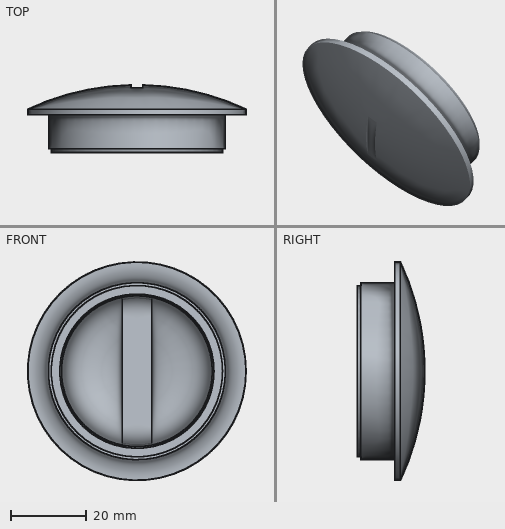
import cadquery as cq
import math

total_depth = 18.0
flange_radius = 29.0
dome_rise = 6.5
flange_thickness = 1.5
collar_radius = 23.5
lip_radius = 22.75
lip_length = 1.0
bore_mouth_radius = 20.5
bore_floor_radius = 20.0
bore_depth = 12.25
floor_rise = 3.15
bar_width = 7.9
bar_front_recess = 0.2
slot_width = 3.1
slot_depth = 0.75

flange_back = total_depth - dome_rise
flange_front = flange_back - flange_thickness
bore_apex = bore_depth + floor_rise


def dome_midpoint(base_radius, rise, apex):
    """Point at half the base radius on a spherical cap, as (radius, Y)."""
    sphere_radius = (base_radius**2 + rise**2) / (2 * rise)
    radius = base_radius / 2
    drop = sphere_radius - math.sqrt(sphere_radius**2 - radius**2)
    return radius, apex - drop


def revolve_about_y(profile):
    return profile.close().revolve(360, (0, 0, 0), (0, 1, 0))


def make_body():
    """Domed flange with a stepped collar, still solid."""
    profile = (
        cq.Workplane("XY")
        .lineTo(lip_radius, 0)
        .lineTo(lip_radius, lip_length)
        .lineTo(collar_radius, lip_length)
        .lineTo(collar_radius, flange_front)
        .lineTo(flange_radius, flange_front)
        .lineTo(flange_radius, flange_back)
        .threePointArc(dome_midpoint(flange_radius, dome_rise, total_depth), (0, total_depth))
    )
    return revolve_about_y(profile)


def make_cavity():
    """Slightly tapered bore ending in a domed floor."""
    profile = (
        cq.Workplane("XY")
        .lineTo(bore_mouth_radius, 0)
        .lineTo(bore_floor_radius, bore_depth)
        .threePointArc(dome_midpoint(bore_floor_radius, floor_rise, bore_apex), (0, bore_apex))
    )
    return revolve_about_y(profile)


def box_across(width, front, back):
    """Box running the full height along Z between two Y positions."""
    return cq.Workplane("XY").box(width, back - front, 2 * flange_radius).translate(
        (0, (front + back) / 2, 0)
    )


bar = box_across(bar_width, bore_depth + bar_front_recess, total_depth)
cavity = make_cavity().cut(bar)

slot = box_across(slot_width, total_depth - slot_depth, total_depth)

result = make_body().cut(cavity).cut(slot)